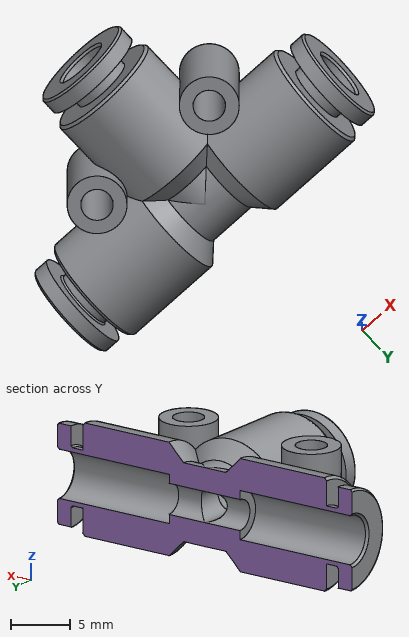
import cadquery as cq

arm_length = 15.3

body_diameter = 10.0
body_radius = body_diameter / 2
neck_radius = 3.5
neck_end = 2.17
cone_end = neck_end + body_radius - neck_radius
body_end = 12.67
body_chamfer = 0.25

sleeve_radius = 2.57
collar_radius = 4.47
collar_thickness = 1.47
collar_start = arm_length - collar_thickness
collar_chamfer = 0.18
root_chamfer = 0.15

flow_radius = 1.35
tube_radius = 2.15
tube_stop = cone_end
mouth_chamfer = 0.2

post_offset = 6.35
post_radius = body_radius / 2
post_hole_radius = 1.35
post_height = body_diameter

branch_angles = (0, 180, 270)


def revolve_along_x(points):
    """Revolve a closed (distance, radius) outline about the X axis."""
    return cq.Workplane("XY").polyline(points).close().revolve(360, (0, 0, 0), (1, 0, 0))


def make_arm():
    return revolve_along_x([
        (0, 0),
        (0, neck_radius),
        (neck_end, neck_radius),
        (cone_end, body_radius),
        (body_end - body_chamfer, body_radius),
        (body_end, body_radius - body_chamfer),
        (body_end, sleeve_radius),
        (collar_start - root_chamfer, sleeve_radius),
        (collar_start, sleeve_radius + root_chamfer),
        (collar_start, collar_radius),
        (arm_length - collar_chamfer, collar_radius),
        (arm_length, collar_radius - collar_chamfer),
        (arm_length, 0),
    ])


def make_passage():
    return revolve_along_x([
        (0, 0),
        (0, flow_radius),
        (tube_stop, flow_radius),
        (tube_stop, tube_radius),
        (arm_length - mouth_chamfer, tube_radius),
        (arm_length, tube_radius + mouth_chamfer),
        (arm_length, 0),
    ])


def make_posts(radius):
    return (
        cq.Workplane("XY", origin=(0, 0, -post_height / 2))
        .pushPoints([(-post_offset, -post_offset), (post_offset, -post_offset)])
        .circle(radius)
        .extrude(post_height)
    )


def around_branches(shape):
    """Place a copy of the +X shape on every arm and join the copies."""
    joined = None
    for angle in branch_angles:
        copy = shape.rotate((0, 0, 0), (0, 0, 1), angle)
        joined = copy if joined is None else joined.union(copy)
    return joined


solid_tee = around_branches(make_arm()).union(make_posts(post_radius))
result = solid_tee.cut(around_branches(make_passage())).cut(make_posts(post_hole_radius))